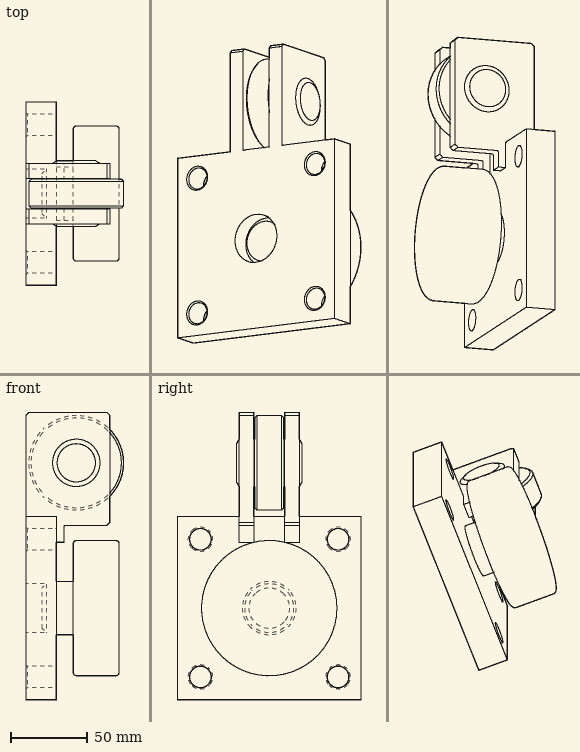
import cadquery as cq

plate_thickness = 20.0
plate_size = 120.0
plate_mid_z = plate_size / 2
bolt_hole_inset = 15.0
bolt_hole_diameter = 14.0
bolt_hole_chamfer = 1.0

lug_thickness = 9.75
lug_gap = 20.0
lug_depth = 55.0
lug_top_z = 188.0
lug_underside_z = 114.0
lug_corner_chamfer = 2.0
tab_depth = 25.0
tab_bottom_z = 103.0
tab_corner_radius = 1.0

upper_axis_x = 33.0
upper_axis_z = 155.0
upper_roller_radius = 31.0
upper_roller_width = 19.0
upper_roller_chamfer = 1.5
upper_pin_radius = 15.5
upper_pin_chamfer_width = 3.0
upper_pin_projection = 1.75

lower_roller_radius = 44.25
lower_roller_start_x = 31.0
lower_roller_width = 30.0
lower_roller_fillet = 2.0
lower_shoulder_radius = 17.5
lower_pin_radius = 16.0
lower_pin_recess = 10.5
lower_pin_chamfer_height = 3.0
lower_pin_chamfer_width = 2.75


def disc_along_x(radius, start_x, length):
    """Round bar on the lower roller axis."""
    return (
        cq.Workplane("YZ", origin=(start_x, 0, plate_mid_z))
        .circle(radius)
        .extrude(length)
    )


def disc_along_y(radius, length):
    """Round bar on the upper roller axis, centred between the lugs."""
    return (
        cq.Workplane("XZ", origin=(upper_axis_x, 0, upper_axis_z))
        .circle(radius)
        .extrude(length / 2, both=True)
    )


def make_plate():
    plate = cq.Workplane("XY").box(
        plate_thickness, plate_size, plate_size, centered=(False, True, False)
    )
    hole_pitch = plate_size - 2 * bolt_hole_inset
    bolt_holes = (
        cq.Workplane("YZ", origin=(0, 0, plate_mid_z))
        .rect(hole_pitch, hole_pitch, forConstruction=True)
        .vertices()
        .circle(bolt_hole_diameter / 2)
        .extrude(plate_thickness)
    )
    plate = plate.cut(bolt_holes)
    plate = plate.faces("<X").edges("%CIRCLE").chamfer(bolt_hole_chamfer)
    return plate.cut(disc_along_x(lower_pin_radius, 0, plate_thickness))


def make_lug(start_y):
    """One lug: it stands on the plate and hangs a short tab down its front face."""
    chamfer = lug_corner_chamfer
    return (
        cq.Workplane("XZ", origin=(0, start_y + lug_thickness, 0))
        .moveTo(0, plate_size)
        .lineTo(0, lug_top_z - chamfer)
        .lineTo(chamfer, lug_top_z)
        .lineTo(lug_depth - chamfer, lug_top_z)
        .lineTo(lug_depth, lug_top_z - chamfer)
        .lineTo(lug_depth, lug_underside_z + chamfer)
        .lineTo(lug_depth - chamfer, lug_underside_z)
        .lineTo(tab_depth + tab_corner_radius, lug_underside_z)
        .radiusArc((tab_depth, lug_underside_z - tab_corner_radius), -tab_corner_radius)
        .lineTo(tab_depth, tab_bottom_z)
        .lineTo(plate_thickness, tab_bottom_z)
        .lineTo(plate_thickness, plate_size)
        .close()
        .extrude(lug_thickness)
    )


def make_upper_roller():
    roller = disc_along_y(upper_roller_radius, upper_roller_width)
    roller = roller.edges("%CIRCLE").chamfer(upper_roller_chamfer)
    pin_length = lug_gap + 2 * (lug_thickness + upper_pin_projection)
    pin = disc_along_y(upper_pin_radius, pin_length)
    for end in ("<Y", ">Y"):
        pin = pin.faces(end).chamfer(upper_pin_projection, upper_pin_chamfer_width)
    return roller.union(pin)


def make_lower_roller():
    roller = disc_along_x(lower_roller_radius, lower_roller_start_x, lower_roller_width)
    roller = roller.edges("%CIRCLE").fillet(lower_roller_fillet)
    shoulder_length = lower_roller_start_x - plate_thickness
    shoulder = disc_along_x(lower_shoulder_radius, plate_thickness, shoulder_length)
    pin = disc_along_x(lower_pin_radius, lower_pin_recess, plate_thickness - lower_pin_recess)
    pin = pin.faces("<X").chamfer(lower_pin_chamfer_height, lower_pin_chamfer_width)
    return roller.union(shoulder).union(pin)


result = make_plate()
for lug_start_y in (lug_gap / 2, -lug_gap / 2 - lug_thickness):
    result = result.union(make_lug(lug_start_y))
result = result.union(make_upper_roller()).union(make_lower_roller())